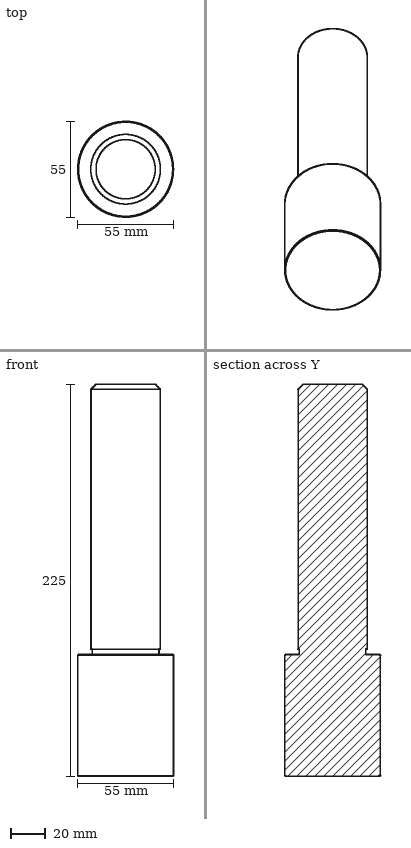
import cadquery as cq

total_length = 225.0
head_diameter = 55.0
head_length = 70.0
head_chamfer = 0.5
shank_diameter = 40.0
shank_chamfer = 3.0
relief_diameter = 38.5
relief_width = 3.0

head_radius = head_diameter / 2
shank_radius = shank_diameter / 2
relief_radius = relief_diameter / 2
relief_top = head_length + relief_width


def turned_profile():
    """Half section in the XZ plane, from the axis out and up to the shank tip."""
    return (
        cq.Workplane("XZ")
        .moveTo(0, 0)
        .lineTo(head_radius - head_chamfer, 0)
        .lineTo(head_radius, head_chamfer)
        .lineTo(head_radius, head_length - head_chamfer)
        .lineTo(head_radius - head_chamfer, head_length)
        .lineTo(relief_radius, head_length)
        .lineTo(relief_radius, relief_top)
        .lineTo(shank_radius, relief_top)
        .lineTo(shank_radius, total_length - shank_chamfer)
        .lineTo(shank_radius - shank_chamfer, total_length)
        .lineTo(0, total_length)
        .close()
    )


result = turned_profile().revolve(360, (0, 0, 0), (0, 1, 0))